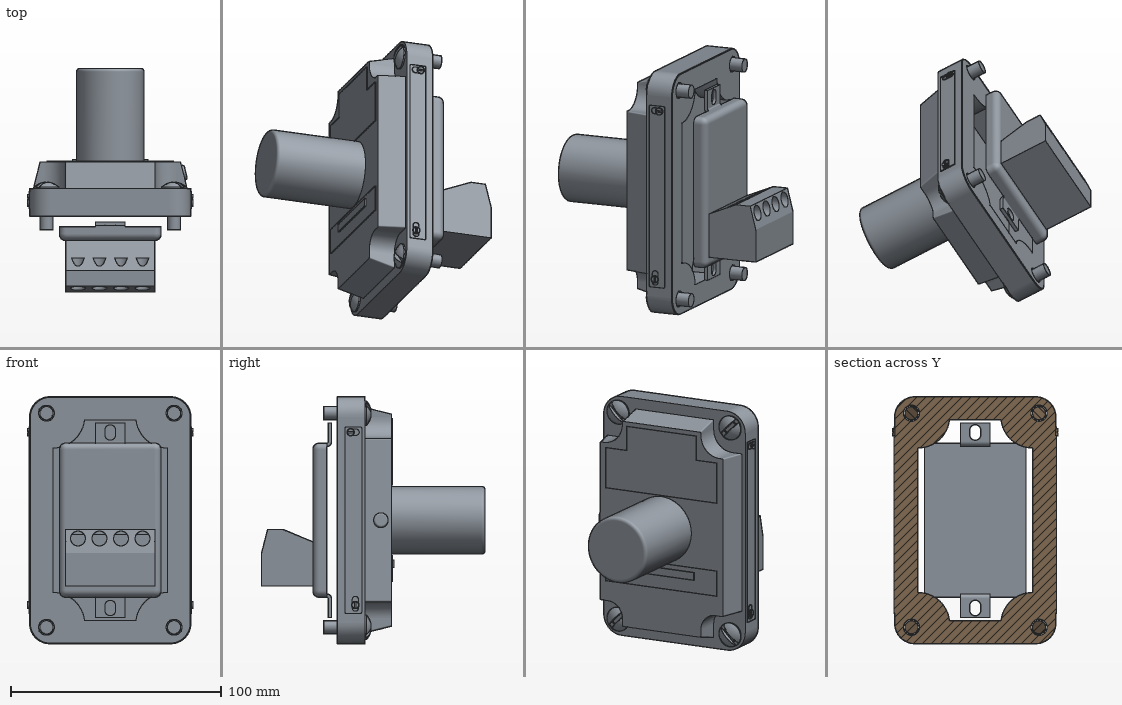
import cadquery as cq
import math


plate_width = 76.8
plate_height = 117.6
plate_depth = 13.4
plate_corner_radius = 9.8
plate_rim_chamfer = 0.4

back_foot_width = 73.1
back_foot_height = 107.3
back_depth = 12.7
back_draft_inset = 3.2
back_draft = math.degrees(math.atan(back_draft_inset / back_depth))
back_face_y = plate_depth + back_depth
corner_cut_x = 21.3
corner_cut_z = 38.8
upper_cut_radius = 10.1
lower_cut_radius = 7.9
corner_cut_reach = 35.3
corner_edge_radius = 0.6

barrel_radius = 16.1
barrel_end_y = 70.6
barrel_end_fillet = 1.6

pad_thickness = 0.5
pad_half_width = 30.1
pad_inner_z = 16.7
upper_pad_shoulder_z = 36.5
upper_pad_neck_half_width = 18.8
upper_pad_top_z = 48.3
lower_pad_bottom_z = -29.0
bar_length = 36.0
bar_height = 3.8
bar_z = -20.7
bar_thickness = 1.2

button_radius = 3.5
button_height = 1.3
button_edge_fillet = 0.9
button_y = 20.9
button_sink = 0.6

pocket_half_width = 27.3
pocket_shoulder_z = 34.3
pocket_neck_half_width = 12.2
pocket_top_z = 47.7
pocket_corner_radius = 15.3
pocket_depth = 12.9

panel_height = 88.7
panel_width = 8.0
panel_thickness = 0.4
panel_y = 7.9
panel_corner_radius = 0.6
panel_face_x = plate_width / 2 + panel_thickness
slot_width = 2.9
upper_slot_length = 5.9
upper_slot_y = 7.8
upper_slot_z = 41.9
lower_slot_length = 7.0
lower_slot_y = 8.8
lower_slot_z = -39.7

panel_screw_radius = 1.8
panel_screw_tip_x = 39.4
panel_screw_groove_width = 0.7
panel_screw_groove_depth = 0.4
upper_screw_y = 6.6
upper_screw_z = upper_slot_z
lower_screw_y = lower_slot_y
lower_screw_z = -40.3

corner_screw_x = 30.3
corner_screw_z = 50.9
corner_screw_radius = 3.2
corner_hole_radius = 3.8
corner_screw_tip_y = -6.2
head_radius = 5.9
head_rim = 0.7
head_height = 3.0
head_groove_width = 2.1
head_groove_depth = 2.6

module_width = 48.5
module_height = 73.4
module_back_y = -4.7
module_front_y = -11.4
module_fillet = 3.0

tab_width = 14.2
tab_thickness = 1.6
tab_inner_bend = 0.6
tab_outer_bend = tab_inner_bend + tab_thickness
tab_end_z = 46.3
tab_slot_width = 5.2
tab_slot_height = 7.3
tab_slot_z = 41.7

terminal_width = module_width - 2 * module_fillet
terminal_bottom_z = -31.4
terminal_root_z = -10.2
terminal_top_z = -4.4
terminal_nose_z = -15.8
terminal_ridge_start_y = -25.5
terminal_ridge_end_y = -32.9
terminal_front_y = -35.9
terminal_hole_count = 4
terminal_hole_pitch = 10.2
terminal_hole_radius = 3.5
terminal_hole_z = -8.7
terminal_hole_floor_y = -19.8


def plane_at(y):
    """Workplane at the given Y with local axes X and Z; a negative extrusion goes toward +Y."""
    return cq.Workplane("XZ", origin=(0, y, 0))


def four_corners(x, z):
    return [(side_x * x, side_z * z) for side_x in (-1, 1) for side_z in (-1, 1)]


def mirrored_outline(workplane, right_half):
    """Close an outline that is symmetric about Z from the points of its +X half."""
    left_half = [(-x, z) for x, z in reversed(right_half)]
    return workplane.polyline(right_half + left_half).close()


def make_plate():
    plate = plane_at(0).rect(plate_width, plate_height).extrude(-plate_depth)
    plate = plate.edges("|Y").fillet(plate_corner_radius)
    return plate.faces("<Y").edges().chamfer(plate_rim_chamfer)


def is_cut_corner(edge):
    """True for the straight edges where a corner cut meets a drafted side of the block."""
    center = edge.Center()
    on_cut_wall = (
        abs(abs(center.x) - corner_cut_x) < corner_edge_radius
        or abs(abs(center.z) - corner_cut_z) < corner_edge_radius
    )
    crosses_depth = abs(center.y - (plate_depth + back_depth / 2)) < corner_edge_radius
    return edge.geomType() == "LINE" and on_cut_wall and crosses_depth


def make_raised_back():
    block = (
        plane_at(plate_depth)
        .rect(back_foot_width, back_foot_height)
        .extrude(-back_depth, taper=back_draft)
    )
    center_x = corner_cut_x + corner_cut_reach / 2
    center_z = corner_cut_z + corner_cut_reach / 2
    for side_z, cut_radius in ((1, upper_cut_radius), (-1, lower_cut_radius)):
        corner_cuts = (
            plane_at(plate_depth)
            .pushPoints([(-center_x, side_z * center_z), (center_x, side_z * center_z)])
            .rect(corner_cut_reach, corner_cut_reach)
            .extrude(-back_depth)
            .edges("|Y")
            .fillet(cut_radius)
        )
        block = block.cut(corner_cuts)
    return block.edges().filter(is_cut_corner).fillet(corner_edge_radius)


def make_barrel():
    barrel = plane_at(back_face_y).circle(barrel_radius).extrude(back_face_y - barrel_end_y)
    return barrel.faces(">Y").edges().fillet(barrel_end_fillet)


def make_back_pads():
    upper_pad = mirrored_outline(
        plane_at(back_face_y),
        [
            (pad_half_width, pad_inner_z),
            (pad_half_width, upper_pad_shoulder_z),
            (upper_pad_neck_half_width, upper_pad_shoulder_z),
            (upper_pad_neck_half_width, upper_pad_top_z),
        ],
    ).extrude(-pad_thickness)
    lower_pad = mirrored_outline(
        plane_at(back_face_y),
        [(pad_half_width, lower_pad_bottom_z), (pad_half_width, -pad_inner_z)],
    ).extrude(-pad_thickness)
    bar = plane_at(back_face_y).center(0, bar_z).rect(bar_length, bar_height).extrude(-bar_thickness)
    return upper_pad.union(lower_pad).union(bar)


def make_side_button():
    """Button standing square on the drafted +X side, its root sunk into the block."""
    inset = back_draft_inset * (button_y - plate_depth) / back_depth
    button = (
        cq.Workplane("YZ")
        .workplane(offset=-button_sink)
        .circle(button_radius)
        .extrude(button_sink + button_height)
        .faces(">X")
        .edges()
        .fillet(button_edge_fillet)
    )
    button = button.rotate((0, 0, 0), (0, 0, 1), back_draft)
    return button.translate((back_foot_width / 2 - inset, button_y, 0))


def make_pocket():
    """Cross-shaped pocket whose inner corners bulge inward as quarter arcs."""
    diagonal = pocket_corner_radius * math.sqrt(0.5)
    arc_center_z = pocket_shoulder_z + pocket_corner_radius
    arc_middle = (pocket_half_width - diagonal, arc_center_z - diagonal)
    neck_top = (pocket_neck_half_width, pocket_top_z)
    shoulder = (pocket_half_width, pocket_shoulder_z)

    def mirrored(point, side_x, side_z):
        return (side_x * point[0], side_z * point[1])

    return (
        plane_at(0)
        .moveTo(*shoulder)
        .threePointArc(arc_middle, neck_top)
        .lineTo(*mirrored(neck_top, -1, 1))
        .threePointArc(mirrored(arc_middle, -1, 1), mirrored(shoulder, -1, 1))
        .lineTo(*mirrored(shoulder, -1, -1))
        .threePointArc(mirrored(arc_middle, -1, -1), mirrored(neck_top, -1, -1))
        .lineTo(*mirrored(neck_top, 1, -1))
        .threePointArc(mirrored(arc_middle, 1, -1), mirrored(shoulder, 1, -1))
        .close()
        .extrude(-pocket_depth)
    )


def make_side_panel():
    """Label panel on the +X side, with one slot along Y and one along Z."""
    panel = (
        cq.Workplane("YZ", origin=(plate_width / 2, panel_y, 0))
        .rect(panel_width, panel_height)
        .extrude(panel_thickness)
        .edges("|X")
        .fillet(panel_corner_radius)
    )
    slots = (
        cq.Workplane("YZ", origin=(plate_width / 2, 0, 0))
        .center(upper_slot_y, upper_slot_z)
        .slot2D(upper_slot_length, slot_width)
        .center(lower_slot_y - upper_slot_y, lower_slot_z - upper_slot_z)
        .slot2D(lower_slot_length, slot_width, 90)
        .extrude(panel_thickness)
    )
    return panel.cut(slots)


def make_housing():
    panel = make_side_panel()
    corner_holes = (
        plane_at(0)
        .pushPoints(four_corners(corner_screw_x, corner_screw_z))
        .circle(corner_hole_radius)
        .extrude(-plate_depth)
    )
    return (
        make_plate()
        .union(make_raised_back())
        .union(make_barrel())
        .union(make_back_pads())
        .union(make_side_button())
        .union(panel)
        .union(panel.mirror("YZ"))
        .cut(make_pocket())
        .cut(corner_holes)
    )


def make_corner_screw(x, z):
    """Dome-headed screw resting on the back of the plate, its groove pointing at the plate corner."""
    crown_height = head_height - head_rim
    crown_radius = (head_radius**2 + crown_height**2) / (2 * crown_height)
    crown_top_y = plate_depth + head_height
    middle_r = head_radius / 2
    middle_y = crown_top_y - crown_radius + math.sqrt(crown_radius**2 - middle_r**2)
    screw = (
        cq.Workplane("XY")
        .moveTo(0, corner_screw_tip_y)
        .lineTo(corner_screw_radius, corner_screw_tip_y)
        .lineTo(corner_screw_radius, plate_depth)
        .lineTo(head_radius, plate_depth)
        .lineTo(head_radius, plate_depth + head_rim)
        .threePointArc((middle_r, middle_y), (0, crown_top_y))
        .close()
        .revolve(360, (0, 0), (0, 1))
    )
    groove_angle = math.copysign(45, -x * z)
    groove = (
        plane_at(crown_top_y)
        .rect(2 * head_radius, head_groove_width)
        .extrude(head_groove_depth)
        .rotate((0, 0, 0), (0, 1, 0), groove_angle)
    )
    return screw.cut(groove).translate((x, 0, z))


def make_panel_screw(side, y, z, groove_angle):
    """Slotted screw on a label panel: its shank fills the slot width, its head lies on the panel."""
    shank = (
        cq.Workplane("YZ", origin=(plate_width / 2, 0, 0))
        .circle(slot_width / 2)
        .extrude(panel_thickness)
    )
    head = (
        cq.Workplane("YZ", origin=(panel_face_x, 0, 0))
        .circle(panel_screw_radius)
        .extrude(panel_screw_tip_x - panel_face_x)
    )
    groove = (
        cq.Workplane("YZ", origin=(panel_screw_tip_x, 0, 0))
        .rect(2 * panel_screw_radius, panel_screw_groove_width)
        .extrude(-panel_screw_groove_depth)
        .rotate((0, 0, 0), (1, 0, 0), groove_angle)
    )
    screw = shank.union(head).cut(groove).translate((0, y, z))
    return screw if side > 0 else screw.mirror("YZ")


def make_module_case():
    case = plane_at(module_back_y).rect(module_width, module_height).extrude(module_back_y - module_front_y)
    return case.edges("|Y or <Y").fillet(module_fillet)


def make_tab():
    """Upper mounting tab: leaves the case along +Y, bends upward and carries an oblong hole."""
    bend_z = module_height / 2 + tab_inner_bend
    face_y = module_back_y + tab_inner_bend
    back_y = module_back_y + tab_outer_bend
    inner_mid = tab_inner_bend * math.sqrt(0.5)
    outer_mid = tab_outer_bend * math.sqrt(0.5)
    tab = (
        cq.Workplane("YZ", origin=(-tab_width / 2, 0, 0))
        .moveTo(module_back_y, bend_z - tab_outer_bend)
        .threePointArc((module_back_y + outer_mid, bend_z - outer_mid), (back_y, bend_z))
        .lineTo(back_y, tab_end_z)
        .lineTo(face_y, tab_end_z)
        .lineTo(face_y, bend_z)
        .threePointArc((module_back_y + inner_mid, bend_z - inner_mid), (module_back_y, module_height / 2))
        .close()
        .extrude(tab_width)
    )
    hole = (
        plane_at(back_y)
        .center(0, tab_slot_z)
        .slot2D(tab_slot_height, tab_slot_width, 90)
        .extrude(tab_thickness)
    )
    return tab.cut(hole)


def make_terminal_block():
    block = (
        cq.Workplane("YZ", origin=(-terminal_width / 2, 0, 0))
        .polyline(
            [
                (module_front_y, terminal_bottom_z),
                (module_front_y, terminal_root_z),
                (terminal_ridge_start_y, terminal_top_z),
                (terminal_ridge_end_y, terminal_top_z),
                (terminal_front_y, terminal_nose_z),
                (terminal_front_y, terminal_bottom_z),
            ]
        )
        .close()
        .extrude(terminal_width)
    )
    wire_holes = (
        plane_at(terminal_hole_floor_y)
        .center(0, terminal_hole_z)
        .rarray(terminal_hole_pitch, 1.2, terminal_hole_count, 1)
        .circle(terminal_hole_radius)
        .extrude(terminal_hole_floor_y - terminal_front_y)
    )
    return block.cut(wire_holes)


def make_relay_module():
    tab = make_tab()
    return make_module_case().union(tab).union(tab.mirror("XY")).union(make_terminal_block())


housing = make_housing()
relay_module = make_relay_module()
corner_screws = [make_corner_screw(x, z) for x, z in four_corners(corner_screw_x, corner_screw_z)]

panel_screws = []
for side in (-1, 1):
    panel_screws.append(make_panel_screw(side, upper_screw_y, upper_screw_z, 0))
    panel_screws.append(make_panel_screw(side, lower_screw_y, lower_screw_z, 90))

screws = [screw.val() for screw in corner_screws + panel_screws]
result = cq.Compound.makeCompound([housing.val(), relay_module.val(), *screws])